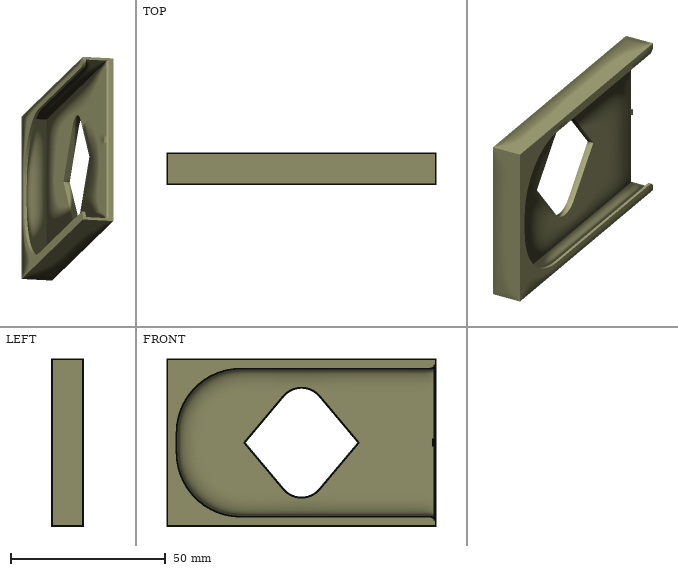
import cadquery as cq
import math

length = 87.0
thickness = 10.1
height = 54.0
mid_z = height / 2

lip_inset = 3.05
lip_thickness = 1.0
opening_corner_radius = 20.9
undercut = 2.2
floor_thickness = 2.1
floor_y = thickness - floor_thickness
lip_end_radius = 2.0

window_half_width = 18.45
window_side_angle = 50.0
window_corner_radius = 7.7
window_half_height = window_half_width * math.tan(math.radians(window_side_angle))

floor_chamfer = 0.5
stop_length = 0.5
stop_ramp = 0.35
stop_height = 2.1
stop_rise = 0.8


def slot(inset, start_y, end_y):
    """Square-cornered slot running out through the +X end."""
    return (
        cq.Workplane("XY")
        .box(length - inset, end_y - start_y, height - 2 * inset, centered=False)
        .translate((inset, start_y, inset))
    )


def lip_end_rounding():
    """Flare between the edge of the lower lip and the open end."""
    return (
        cq.Workplane("XZ")
        .moveTo(length - lip_end_radius, lip_inset)
        .radiusArc((length, lip_inset - lip_end_radius), lip_end_radius)
        .lineTo(length, lip_inset)
        .close()
        .extrude(-floor_y)
    )


def window():
    """Diamond hole through the slot floor."""
    return (
        cq.Workplane("XZ")
        .center(length / 2, mid_z)
        .polyline([
            (-window_half_width, 0),
            (0, window_half_height),
            (window_half_width, 0),
            (0, -window_half_height),
        ])
        .close()
        .extrude(-thickness)
        .edges("|Y and (>Z or <Z)")
        .fillet(window_corner_radius)
    )


def floor_end_bevel():
    """Wedge removed from the open end of the floor."""
    wall_inset = lip_inset - undercut
    return (
        cq.Workplane("XY")
        .workplane(offset=wall_inset)
        .moveTo(length - floor_chamfer, floor_y)
        .lineTo(length, floor_y)
        .lineTo(length, floor_y + floor_chamfer)
        .close()
        .extrude(height - 2 * wall_inset)
    )


def floor_stop():
    """Small ramped block standing on the floor just inside the bevel."""
    stop_end = length - floor_chamfer
    stop_start = stop_end - stop_length
    return (
        cq.Workplane("XY")
        .workplane(offset=mid_z - stop_height / 2)
        .polyline([
            (stop_start, floor_y),
            (stop_start + stop_ramp, floor_y - stop_rise),
            (stop_end, floor_y - stop_rise),
            (stop_end, thickness),
            (stop_start, thickness),
        ])
        .close()
        .extrude(stop_height)
    )


plate = cq.Workplane("XY").box(length, thickness, height, centered=False)
opening = slot(lip_inset, 0, floor_y).edges("|Y and <X").fillet(opening_corner_radius)
cavity = slot(lip_inset - undercut, lip_thickness, floor_y)
lower_rounding = lip_end_rounding()
upper_rounding = lower_rounding.mirror("XY", (0, 0, mid_z))

result = plate.cut(opening).cut(cavity)
result = result.cut(lower_rounding).cut(upper_rounding)
result = result.cut(window()).cut(floor_end_bevel())
result = result.union(floor_stop())